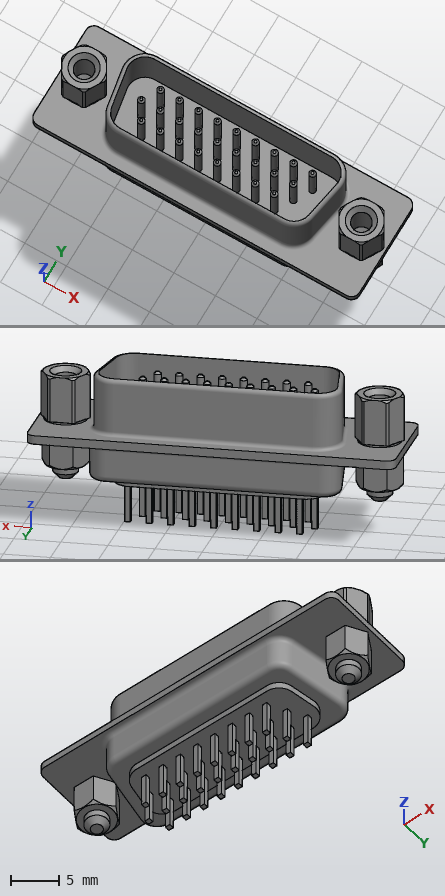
import cadquery as cq
import math


overall_height = 16.3

flange_length = 39.15
flange_depth = 12.55
flange_thickness = 0.95
flange_corner_radius = 0.98

side_angle = 10.0
plug_mid_width = 25.6
plug_depth = 9.4
plug_corner_radius = 2.5
plug_top = 7.1
plug_wall = 0.5
plug_root_radius = 0.45
cavity_floor = flange_thickness

rear_mid_width = 25.6
rear_depth = 10.72
rear_corner_radius = 2.0
rear_bottom = -4.05
rear_root_radius = 0.55
rear_edge_radius = 0.65

foot_mid_width = 21.85
foot_depth = 6.95
foot_corner_radius = 2.0
foot_bottom = -4.9

nine_contact_span = 18.28
contact_pitch = nine_contact_span / 8
outer_row_distance = 3.95
row_spacing = outer_row_distance / 2
contact_rows = ((0.5, 8), (0.0, 9), (0.5, 9))
first_contact_x = -9.8
pin_diameter = 0.8
pin_top = 6.05
pin_tip_chamfer = 0.25
tail_width = 0.6
tail_bottom = plug_top - overall_height

screw_x = 16.67
socket_across_flats = 4.65
socket_corner_diameter = 5.2
socket_bottom = 1.17
socket_top = 6.1
socket_chamfer = 0.25
collar_diameter = 4.58
nut_across_flats = 4.4
nut_bottom = rear_bottom
nut_chamfer = 0.4
stud_diameter = 2.7
stud_bottom = -5.5
stud_chamfer = 0.65
bore_diameter = 2.25
bore_mouth_diameter = 3.33
bore_bottom = socket_bottom
drill_point_angle = 118.0


def rounded_trapezoid(mid_width, depth, corner_radius, bottom, top):
    """Prism with slanted ends, mid_width wide at Y = 0, with rounded vertical corners."""
    half_depth = depth / 2
    slant = half_depth * math.tan(math.radians(side_angle))
    front = mid_width / 2 - slant
    back = mid_width / 2 + slant
    return (
        cq.Workplane("XY", origin=(0, 0, bottom))
        .moveTo(-front, -half_depth)
        .lineTo(front, -half_depth)
        .lineTo(back, half_depth)
        .lineTo(-back, half_depth)
        .close()
        .extrude(top - bottom)
        .edges("|Z")
        .fillet(corner_radius)
    )


def hexagon(across_flats, bottom, top):
    """Upright hexagonal prism with flats facing -Y and +Y."""
    corner_diameter = across_flats / math.cos(math.pi / 6)
    return cq.Workplane("XY", origin=(0, 0, bottom)).polygon(6, corner_diameter).extrude(top - bottom)


def cylinder(diameter, bottom, top):
    return cq.Workplane("XY", origin=(0, 0, bottom)).circle(diameter / 2).extrude(top - bottom)


selection_margin = 0.05


def root_edges(height):
    """Selector for the outline where a shell half meets the flange face at this height."""
    reach_x = flange_length / 2 - flange_corner_radius
    reach_y = flange_depth / 2 - selection_margin
    return cq.selectors.BoxSelector(
        (-reach_x, -reach_y, height - selection_margin),
        (reach_x, reach_y, height + selection_margin),
    )


def make_shell():
    flange = (
        cq.Workplane("XY")
        .rect(flange_length, flange_depth)
        .extrude(flange_thickness)
        .edges("|Z")
        .fillet(flange_corner_radius)
    )
    plug = rounded_trapezoid(plug_mid_width, plug_depth, plug_corner_radius, flange_thickness, plug_top)
    plug = plug.faces(">Z").edges().fillet(plug_wall)
    rear = rounded_trapezoid(rear_mid_width, rear_depth, rear_corner_radius, rear_bottom, 0)
    rear = rear.faces("<Z").edges().fillet(rear_edge_radius)
    shell = flange.union(plug).union(rear)
    shell = shell.edges(root_edges(flange_thickness)).fillet(plug_root_radius)
    shell = shell.edges(root_edges(0)).fillet(rear_root_radius)

    cavity = rounded_trapezoid(
        plug_mid_width - 2 * plug_wall / math.cos(math.radians(side_angle)),
        plug_depth - 2 * plug_wall,
        plug_corner_radius - plug_wall,
        cavity_floor,
        plug_top,
    )
    foot = rounded_trapezoid(foot_mid_width, foot_depth, foot_corner_radius, foot_bottom, rear_bottom)
    return shell.cut(cavity).union(foot)


def make_contact():
    """Round pin standing on the cavity floor and square tail hanging below the foot."""
    pin = cylinder(pin_diameter, cavity_floor, pin_top).faces(">Z").chamfer(pin_tip_chamfer)
    tail = cq.Workplane("XY", origin=(0, 0, tail_bottom)).rect(tail_width, tail_width)
    return pin, tail.extrude(foot_bottom - tail_bottom)


def make_jack_screw():
    """Socket above the flange, nut with pointed stud below it, and the bore to cut from above."""
    socket = hexagon(socket_across_flats, socket_bottom, socket_top).intersect(
        cylinder(socket_corner_diameter, socket_bottom, socket_top).faces(">Z").chamfer(socket_chamfer)
    )
    collar = cylinder(collar_diameter, flange_thickness, socket_bottom)

    nut_corner_diameter = nut_across_flats / math.cos(math.pi / 6)
    nut = hexagon(nut_across_flats, nut_bottom, 0).intersect(
        cylinder(nut_corner_diameter, nut_bottom, 0).faces("<Z").chamfer(nut_chamfer)
    )
    stud = cylinder(stud_diameter, stud_bottom, nut_bottom).faces("<Z").chamfer(stud_chamfer)

    bore_radius = bore_diameter / 2
    mouth_radius = bore_mouth_diameter / 2
    mouth_depth = mouth_radius - bore_radius
    point_depth = bore_radius / math.tan(math.radians(drill_point_angle / 2))
    bore = (
        cq.Workplane("XZ")
        .moveTo(0, socket_top)
        .lineTo(mouth_radius, socket_top)
        .lineTo(bore_radius, socket_top - mouth_depth)
        .lineTo(bore_radius, bore_bottom)
        .lineTo(0, bore_bottom - point_depth)
        .close()
        .revolve(360, (0, 0, 0), (0, 1, 0))
    )
    return socket.union(collar), nut.union(stud), bore


result = make_shell()

pin, tail = make_contact()
for row, (column_offset, count) in enumerate(contact_rows):
    y = (row - 1) * row_spacing
    for column in range(count):
        x = first_contact_x + (column + column_offset) * contact_pitch
        for piece in (pin, tail):
            result = result.union(piece.translate((x, y, 0)))

socket, nut, bore = make_jack_screw()
for x in (-screw_x, screw_x):
    for piece in (socket, nut):
        result = result.union(piece.translate((x, 0, 0)))
    result = result.cut(bore.translate((x, 0, 0)))